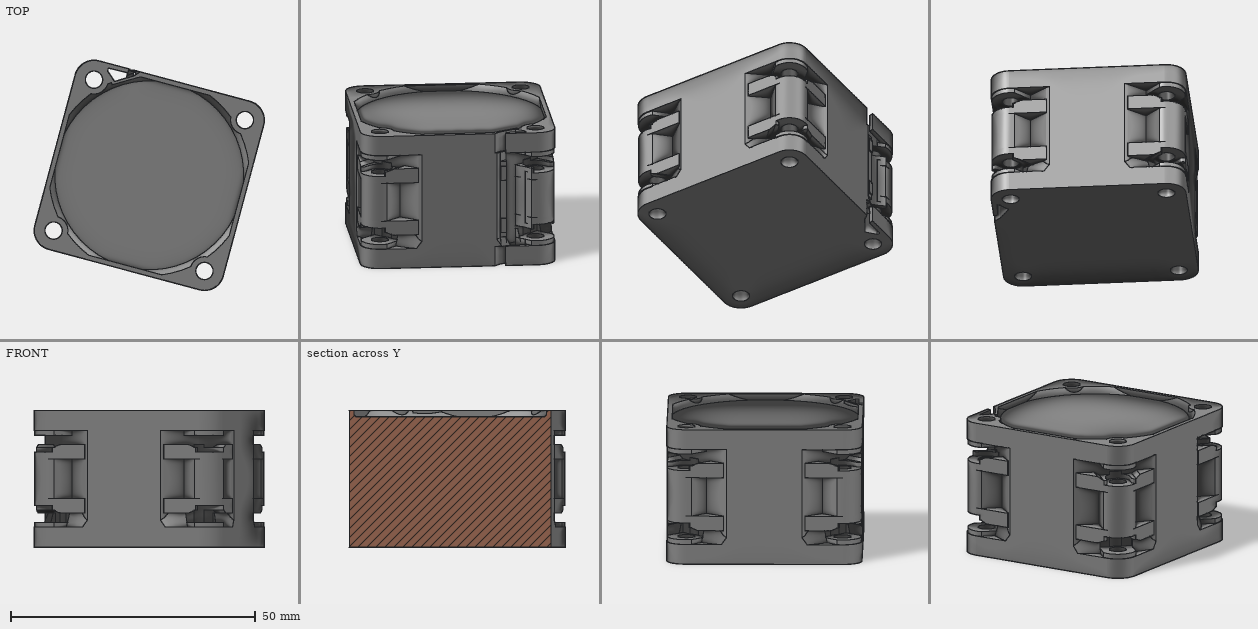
import cadquery as cq
import math

OVERALL = 47.15
HEIGHT = 28.0
TILT = -15.0
CORNER_RADIUS = 4.0
HOLE_RADIUS = 1.75
TILT_SPAN = math.cos(math.radians(TILT)) + abs(math.sin(math.radians(TILT)))
HOLE_OFFSET = (OVERALL / 2 - CORNER_RADIUS) / TILT_SPAN
HALF_SIDE = HOLE_OFFSET + CORNER_RADIUS
FLANGE = 4.1

PANEL_HALF = 7.75
PANEL_EDGE_X = 0.6
PANEL_EDGE_Y = 0.4
RIDGE_OFFSET = 14.5

FLARE_BOTTOM_RADIUS = 21.85
FLARE_TOP_RADIUS = 20.33
FLARE_TOP = 9.53

INSET = 0.15
POST_RADIUS = CORNER_RADIUS - INSET
POST_HALF_WIDTH = 3.4
LUG = 1.0
POST_BOTTOM = 8.55

RIB_LOW = 7.0
RIB_THICKNESS = 3.0

SLOT_HALF_WIDTH = 2.55
MOUTH_RADIUS = 0.75
MOUTH_OFFSET = 2.1
SLOT_DEPTH = 0.95
SLOPE_HALF_WIDTH = 4.45
FLARE_CHANNEL_HALF_WIDTH = 3.4
REACH = 9.45

RECESS_DEPTH = 1.25
RECESS_TOP_RADIUS = 20.5
RECESS_FLOOR_RADIUS = 19.35
RECESS_HALF_SIDE = 19.0
BOSS_RADIUS = 2.92

DUCT_LIP = (-9.7, 19.1)
DUCT_TIP = [(-13.75, 19.0), (-13.68, 18.35)]
DUCT_ROOT = (-11.8, 16.75)
DUCT_BEND = (-8.45, 18.7)
DUCT_FLOOR_Y = 18.05
RIB_STUB_END = -14.95
BRIDGE_OUTER_Y = 19.6
BRIDGE_BOTTOM = 6.0
DUCT_MOUTH = [(-7.25, HALF_SIDE), (-9.5, HALF_SIDE)]
DUCT_WALL = 0.5
DUCT_WALL_OVERHANG = 0.7
PANEL_GAP = [DUCT_BEND, (-8.55, 19.8), (-7.95, 19.25)]


def slab(profile, bottom, top):
    """Extrude a closed profile on the XY plane between two heights."""
    return profile.extrude(top - bottom).translate((0, 0, bottom))


def rounded_plate(half_side, radius, bottom, top):
    plate = slab(cq.Workplane().rect(2 * half_side, 2 * half_side), bottom, top)
    return plate.edges("|Z").fillet(radius)


def at_corners(shape):
    """Move a shape drawn about the hole axis, with +X outward, to the four corners."""
    shape = shape.translate((HOLE_OFFSET * math.sqrt(2), 0, 0))
    copies = cq.Workplane()
    for turn in (45, 135, 225, 315):
        copies = copies.add(shape.rotate((0, 0, 0), (0, 0, 1), turn))
    return copies.combine()


def mirrored(shape):
    """The shape together with its mirror image about mid height."""
    middle = (0, 0, HEIGHT / 2)
    return shape.union(shape.mirror("XY", middle))


def core():
    edge = (PANEL_HALF + PANEL_EDGE_X, HALF_SIDE - PANEL_EDGE_Y)
    quarter = [
        (-edge[0], edge[1]),
        (-PANEL_HALF, HALF_SIDE),
        (PANEL_HALF, HALF_SIDE),
        edge,
        (RIDGE_OFFSET, RIDGE_OFFSET),
    ]
    points = []
    for _ in range(4):
        points += quarter
        quarter = [(y, -x) for x, y in quarter]
    return slab(cq.Workplane().polyline(points).close(), 0, HEIGHT)


def flare():
    cone = (
        cq.Workplane().workplane(offset=FLANGE).circle(FLARE_BOTTOM_RADIUS)
        .workplane(offset=FLARE_TOP - FLANGE).circle(FLARE_TOP_RADIUS).loft()
    )
    return cone.intersect(cq.Workplane().box(2 * HALF_SIDE, 2 * HALF_SIDE, 2 * HEIGHT))


def post_profile():
    arc_end = math.sqrt(POST_RADIUS**2 - POST_HALF_WIDTH**2)
    return (
        cq.Workplane().moveTo(-REACH, -POST_HALF_WIDTH).lineTo(arc_end, -POST_HALF_WIDTH)
        .threePointArc((POST_RADIUS, 0), (arc_end, POST_HALF_WIDTH))
        .lineTo(-REACH, POST_HALF_WIDTH).close()
    )


def screw_slot(bottom, top):
    """Slot around the hole: round inner end, and sides that curve apart at the mouth."""
    side_end = MOUTH_OFFSET - MOUTH_RADIUS
    mouth_half = SLOT_HALF_WIDTH + MOUTH_RADIUS
    arc_inset = MOUTH_RADIUS * math.sqrt(0.5)
    arc_middle = (side_end + arc_inset, mouth_half - arc_inset)
    profile = (
        cq.Workplane().moveTo(side_end, -SLOT_HALF_WIDTH)
        .threePointArc((arc_middle[0], -arc_middle[1]), (MOUTH_OFFSET, -mouth_half))
        .lineTo(REACH, -mouth_half).lineTo(REACH, mouth_half).lineTo(MOUTH_OFFSET, mouth_half)
        .threePointArc(arc_middle, (side_end, SLOT_HALF_WIDTH)).lineTo(0, SLOT_HALF_WIDTH)
        .threePointArc((-SLOT_HALF_WIDTH, 0), (0, -SLOT_HALF_WIDTH)).close()
    )
    return slab(profile, bottom, top)


def rib_channel():
    """Channel through a lower rib, with sides that slope apart towards the rib underside."""
    slope_start = POST_BOTTOM - SLOT_DEPTH
    profile = cq.Workplane("YZ").polyline([
        (-POST_HALF_WIDTH, slope_start), (POST_HALF_WIDTH, slope_start),
        (SLOPE_HALF_WIDTH, RIB_LOW), (-SLOPE_HALF_WIDTH, RIB_LOW),
    ]).close()
    return profile.extrude(REACH, both=True)


def flare_channel():
    channel = cq.Workplane().rect(2 * REACH, 2 * FLARE_CHANNEL_HALF_WIDTH)
    return slab(channel, FLANGE + LUG, RIB_LOW)


def lower_rib():
    """Plate with rounded corners, open between the bevels of each panel."""
    half_side = HALF_SIDE - INSET
    rib = rounded_plate(half_side, POST_RADIUS, RIB_LOW, RIB_LOW + RIB_THICKNESS)
    opening = 2 * (PANEL_HALF + PANEL_EDGE_X)
    bevel_side = 2 * (HALF_SIDE - PANEL_EDGE_Y)
    inside = cq.Workplane().box(bevel_side, bevel_side, 2 * HEIGHT)
    strips = cq.Workplane().box(opening, 2 * HALF_SIDE, 2 * HEIGHT)
    strips = strips.union(cq.Workplane().box(2 * HALF_SIDE, opening, 2 * HEIGHT))
    return rib.cut(strips.cut(inside))


def duct_polygon(points, bottom, top):
    return slab(cq.Workplane().polyline(points).close(), bottom, top)


def duct_wall():
    """Thin wall that keeps the duct closed towards the top recess."""
    run = math.atan2(DUCT_BEND[1] - DUCT_ROOT[1], DUCT_BEND[0] - DUCT_ROOT[0])
    return (
        cq.Workplane().rect(2 * REACH, 2 * REACH).extrude(HEIGHT)
        .translate((REACH - DUCT_WALL_OVERHANG, REACH - DUCT_WALL, 0))
        .rotate((0, 0, 0), (0, 0, 1), math.degrees(run)).translate((*DUCT_ROOT, 0))
    )


def recess():
    floor = HEIGHT - RECESS_DEPTH
    cone = (
        cq.Workplane().workplane(offset=floor).circle(RECESS_FLOOR_RADIUS)
        .workplane(offset=RECESS_DEPTH).circle(RECESS_TOP_RADIUS).loft()
    )
    square = slab(cq.Workplane().rect(2 * RECESS_HALF_SIDE, 2 * RECESS_HALF_SIDE), floor, HEIGHT)
    bosses = at_corners(cq.Workplane().circle(BOSS_RADIUS).extrude(HEIGHT))
    return cone.intersect(square).cut(bosses).cut(duct_wall())


passage = [*DUCT_TIP, DUCT_ROOT, (DUCT_LIP[0], DUCT_FLOOR_Y), DUCT_LIP]
rib_duct = [
    (RIB_STUB_END, HALF_SIDE), DUCT_TIP[1], DUCT_ROOT,
    (DUCT_LIP[0], DUCT_FLOOR_Y), (DUCT_LIP[0], HALF_SIDE),
]
flange_duct = [*DUCT_TIP, DUCT_ROOT, DUCT_BEND, *DUCT_MOUTH, DUCT_LIP]
bridge = [
    (DUCT_LIP[0], DUCT_FLOOR_Y), (DUCT_BEND[0], DUCT_FLOOR_Y),
    (DUCT_BEND[0], BRIDGE_OUTER_Y), (DUCT_LIP[0], BRIDGE_OUTER_Y),
]

body = mirrored(lower_rib().cut(at_corners(rib_channel())))
body = body.cut(duct_polygon(rib_duct, 0, HEIGHT))
body = body.union(flare().cut(at_corners(flare_channel().union(rib_channel()))))
body = body.union(core())

upper_slot = screw_slot(HEIGHT - POST_BOTTOM, HEIGHT - RIB_LOW)
lower_slot = screw_slot(FLANGE + LUG, POST_BOTTOM)
body = body.cut(at_corners(upper_slot)).cut(at_corners(lower_slot))

body = body.union(mirrored(rounded_plate(HALF_SIDE, CORNER_RADIUS, 0, FLANGE)))
body = body.union(mirrored(at_corners(slab(post_profile(), FLANGE, FLANGE + LUG))))
body = body.union(at_corners(slab(post_profile(), POST_BOTTOM, HEIGHT - POST_BOTTOM)))

body = body.cut(duct_polygon(passage, 0, HEIGHT))
body = body.union(duct_polygon(bridge, BRIDGE_BOTTOM, HEIGHT - BRIDGE_BOTTOM))
body = body.cut(duct_polygon(PANEL_GAP, 0, HEIGHT))
body = body.cut(mirrored(duct_polygon(flange_duct, 0, FLANGE)))

body = body.cut(recess())
body = body.cut(at_corners(cq.Workplane().circle(HOLE_RADIUS).extrude(HEIGHT)))

result = body.rotate((0, 0, 0), (0, 0, 1), TILT)